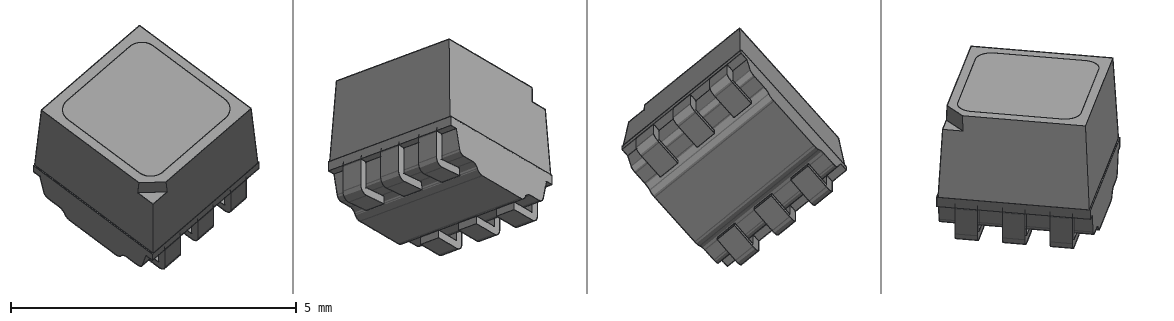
import cadquery as cq
import math

LENGTH_X = 2.84
WIDTH_Y = 2.74
HEIGHT = 2.44
OVERCUT = 0.028

LEAD_THICKNESS = 0.153
LEAD_WIDTH = 0.4
LEAD_PITCH = 0.845
LEADS_PER_SIDE = 3
LEAD_FOOT_LENGTH = 0.655
HEEL_RADIUS = 0.15
BEND_DIAMETER = 0.4
BEND_RADIUS = BEND_DIAMETER / 2
LEFT_FOOT_TILT = 4.4
RIGHT_FOOT_TILT = 0.0

BASE_TOP_Z = 0.84
FLANGE_THICKNESS = 0.182
FLANGE_BOTTOM_Z = BASE_TOP_Z - FLANGE_THICKNESS
SHOULDER_Z = 0.195
FOOT_BOTTOM_Z = 0.025
BODY_HALF_TOP = LENGTH_X / 2 - LEAD_THICKNESS
BODY_HALF_SHOULDER = 1.153
SHOULDER_RADIUS = 0.12
STEP_RADIUS = 0.15
STEP_CENTER_X = 0.675

HOUSING_BOTTOM_X = 2.835
HOUSING_BOTTOM_Y = 2.692
HOUSING_DRAFT = 3.0
HOUSING_HEIGHT = HEIGHT - BASE_TOP_Z
HOUSING_INSET = HOUSING_HEIGHT * math.tan(math.radians(HOUSING_DRAFT))
NOTCH_LEG = 0.335
NOTCH_DEPTH = 0.293

LENS_X = 2.29
LENS_Y = 2.195
LENS_CORNER_RADIUS = 0.293


def make_lens():
    """Rounded block from the base up to the top face."""
    return (
        cq.Workplane("XY")
        .workplane(offset=BASE_TOP_Z)
        .rect(LENS_X, LENS_Y)
        .extrude(HOUSING_HEIGHT)
        .edges("|Z")
        .fillet(LENS_CORNER_RADIUS)
    )


def corner_notch():
    """Triangular prism that removes the top corner at +X, -Y."""
    corner_x = HOUSING_BOTTOM_X / 2 - HOUSING_INSET
    corner_y = -(HOUSING_BOTTOM_Y / 2 - HOUSING_INSET)
    margin = HOUSING_INSET
    outer_x = corner_x + margin
    outer_y = corner_y - margin
    return (
        cq.Workplane("XY")
        .workplane(offset=HEIGHT - NOTCH_DEPTH)
        .moveTo(outer_x, outer_y)
        .lineTo(outer_x, corner_y + NOTCH_LEG + margin)
        .lineTo(corner_x - NOTCH_LEG - margin, outer_y)
        .close()
        .extrude(NOTCH_DEPTH + OVERCUT)
    )


def make_housing():
    """Drafted frame with a lens window and one notched corner."""
    block = (
        cq.Workplane("XY")
        .workplane(offset=BASE_TOP_Z)
        .rect(HOUSING_BOTTOM_X, HOUSING_BOTTOM_Y)
        .extrude(HOUSING_HEIGHT, taper=HOUSING_DRAFT)
    )
    return block.cut(make_lens()).cut(corner_notch())


def make_base():
    """Flange, tapered body and central foot as one constant section along Y."""
    flange_half = LENGTH_X / 2
    step_height = SHOULDER_Z - FOOT_BOTTOM_Z
    step_angle = math.acos(1 - step_height / (2 * STEP_RADIUS))
    arc_run = STEP_RADIUS * math.sin(step_angle)
    step_outer = STEP_CENTER_X + arc_run
    step_inner = STEP_CENTER_X - arc_run
    step_mid_z = (SHOULDER_Z + FOOT_BOTTOM_Z) / 2

    section = (
        cq.Workplane("XZ")
        .moveTo(-flange_half, BASE_TOP_Z)
        .lineTo(-flange_half, FLANGE_BOTTOM_Z)
        .lineTo(-BODY_HALF_TOP, FLANGE_BOTTOM_Z)
        .lineTo(-BODY_HALF_SHOULDER, SHOULDER_Z)
        .lineTo(-step_outer, SHOULDER_Z)
        .tangentArcPoint((-STEP_CENTER_X, step_mid_z), relative=False)
        .tangentArcPoint((-step_inner, FOOT_BOTTOM_Z), relative=False)
        .lineTo(step_inner, FOOT_BOTTOM_Z)
        .tangentArcPoint((STEP_CENTER_X, step_mid_z), relative=False)
        .tangentArcPoint((step_outer, SHOULDER_Z), relative=False)
        .lineTo(BODY_HALF_SHOULDER, SHOULDER_Z)
        .lineTo(BODY_HALF_TOP, FLANGE_BOTTOM_Z)
        .lineTo(flange_half, FLANGE_BOTTOM_Z)
        .lineTo(flange_half, BASE_TOP_Z)
        .close()
    )
    base = section.extrude(WIDTH_Y / 2, both=True)
    for side in (-1, 1):
        shoulder_point = (side * BODY_HALF_SHOULDER, 0, SHOULDER_Z)
        shoulder_edge = base.edges(cq.selectors.NearestToPointSelector(shoulder_point))
        base = shoulder_edge.fillet(SHOULDER_RADIUS)
    return base


def make_lead(side, y_center, foot_tilt):
    """Lead that bends down out of the flange and ends in a foot.

    The side is -1 for the -X row and +1 for the +X row.
    """
    tilt = math.radians(foot_tilt)
    heel_z = HEEL_RADIUS * (1 - math.tan(tilt) - 1 / math.cos(tilt))
    tip_z = heel_z + LEAD_FOOT_LENGTH * math.tan(tilt)
    tip_top_inset = LEAD_FOOT_LENGTH - LEAD_THICKNESS * math.sin(tilt)
    tip_top_z = tip_z + LEAD_THICKNESS * math.cos(tilt)
    inner_corner_z = tip_top_z - (tip_top_inset - LEAD_THICKNESS) * math.tan(tilt)

    def place(inset, z):
        """Point at a distance inward from the outer face of the lead."""
        return (side * (LENGTH_X / 2 - inset), z)

    bend_z = BASE_TOP_Z - BEND_RADIUS
    inner_radius = BEND_RADIUS - LEAD_THICKNESS
    outline = (
        cq.Workplane("XZ", origin=(0, y_center, 0))
        .moveTo(*place(0, heel_z))
        .lineTo(*place(LEAD_FOOT_LENGTH, tip_z))
        .lineTo(*place(tip_top_inset, tip_top_z))
        .lineTo(*place(LEAD_THICKNESS, inner_corner_z))
        .lineTo(*place(LEAD_THICKNESS, bend_z))
        .tangentArcPoint(place(BEND_RADIUS, bend_z + inner_radius), relative=False)
        .lineTo(*place(BEND_RADIUS, BASE_TOP_Z))
        .radiusArc(place(0, bend_z), side * BEND_RADIUS)
        .close()
    )
    heel_point = (side * LENGTH_X / 2, y_center, heel_z)
    lead = outline.extrude(LEAD_WIDTH / 2, both=True)
    return lead.edges(cq.selectors.NearestToPointSelector(heel_point)).fillet(HEEL_RADIUS)


housing = make_housing()
lens = make_lens()

leads = []
for side, foot_tilt in ((-1, LEFT_FOOT_TILT), (1, RIGHT_FOOT_TILT)):
    for index in range(LEADS_PER_SIDE):
        y_center = (index - (LEADS_PER_SIDE - 1) / 2) * LEAD_PITCH
        leads.append(make_lead(side, y_center, foot_tilt).val())

base = make_base().cut(cq.Compound.makeCompound(leads))

result = cq.Compound.makeCompound([base.val(), housing.val(), lens.val(), *leads])